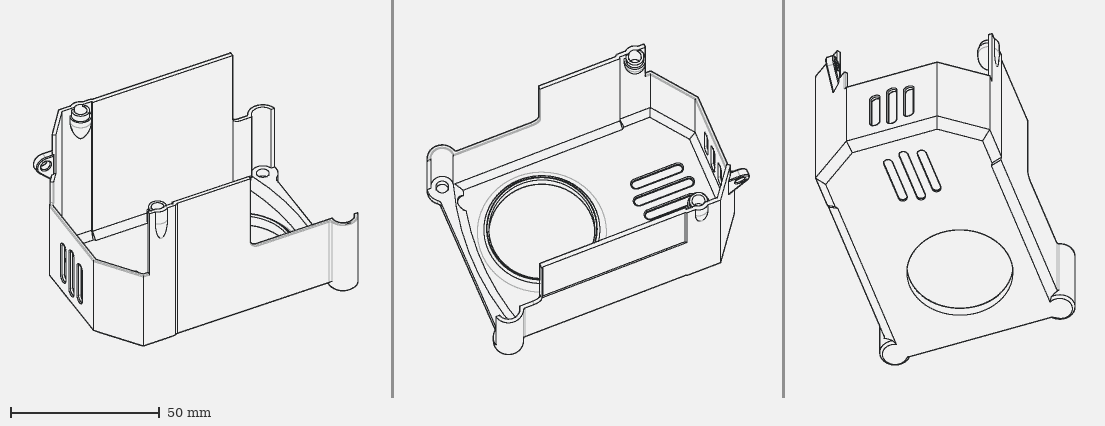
import cadquery as cq
import math

height = 60.5
wall = 1.3
bevel = 3.1

front_half_width = 31.05
rear_half_width = 30.45
nose_half_width = 16.15
slant_depth = 11.2
step_y = 23.4
step_length = 1.0

low_rim = 30.0
front_rim = 33.8
left_tall_end = 76.3
right_tall_start = 13.6
right_tall_end = 52.3
rim_fillet = 2.8
notch_fillet = 0.6
rim_rounding = 0.3
wall_end_y = 84.0

left_notch_top = 43.5
left_tall_reach = 13.1
left_notch_reach = 17.6

panel_depth = 0.3
panel_border = 0.65
panel_base_z = 33.4

ear_x = 29.35
ear_offset = 0.2
ear_y = 87.64
ear_radius = 5.145
ear_bevel = 0.9
ear_shell_gap = 1.05
ear_joint_fillet = 0.8
ear_hole_depth = 3.0
plate_top = 4.1
plate_rear_y = 90.2
plate_fillet = 2.0
plate_arc_centre_y = -5.8
plate_arc_low = 91.0
plate_arc_high = 94.2
relief_x, relief_y, relief_radius = 22.2, 82.1, 2.8

screw_hole_radius = 2.15

port_x, port_y = 2.7, 62.4
port_radius = 17.85
port_rim_radius = 19.55
port_root_fillet = 2.2
port_rim_top = 4.6
port_outer_bevel = 0.9
port_inner_bevel = 0.6

slot_pitch = 6.0
slot_width = 3.0
slot_bevel = 0.4
front_slot_z = 16.0
front_slot_lengths = (16.0, 19.0, 16.0)
floor_slot_x, floor_slot_y = 0.8, 18.8
floor_slot_lengths = (18.2, 21.2, 18.2)

boss_x, boss_y = 28.2, 18.1
boss_radius = 3.65
boss_neck_radius = 3.05
boss_top = 59.7
boss_shoulder = 57.3
boss_straight_end = 55.1
boss_inner_taper_radius = 10.5
boss_outer_taper_radius = 32.0
boss_hole_depth = 8.0

lug_left, lug_right = -22.65, -19.75
lug_y, lug_z = 0.605, 48.35
lug_radius = 3.5
lug_root_y = 8.0
lug_bevel = 0.35
lug_hole_radius = 1.75

pick_margin = 0.1

slant_width = front_half_width - nose_half_width
slant_length = math.hypot(slant_width, slant_depth)
slant_angle = math.degrees(math.atan2(slant_depth, slant_width))


def box(x0, x1, y0, y1, z0, z1):
    """Box between two opposite corners."""
    return cq.Workplane("XY").box(x1 - x0, y1 - y0, z1 - z0, centered=False).translate((x0, y0, z0))


def cylinder(x, y, radius, z0, z1):
    """Upright cylinder."""
    return cq.Workplane("XY").workplane(offset=z0).center(x, y).circle(radius).extrude(z1 - z0)


def hull(half_outline, inset, base_z, base_bevel):
    """Upright prism over a mirrored half outline, bevelled below except at its rear face."""
    mirrored = [(-x, y) for x, y in reversed(half_outline)]
    outline = cq.Workplane("XY").workplane(offset=base_z).polyline(half_outline + mirrored).close()
    if inset:
        outline = outline.offset2D(-inset)
    solid = outline.extrude(height - base_z)
    return solid.edges("<Z").edges("not(>Y)").chamfer(base_bevel)


def body():
    """Front and rear hulls, hollowed to an even wall, with the raised rear plate left standing."""
    front_outline = [
        (nose_half_width, 0),
        (front_half_width, slant_depth),
        (front_half_width, step_y),
        (rear_half_width, step_y + step_length),
    ]
    rear_slant_y = slant_depth * (rear_half_width - nose_half_width) / slant_width
    rear_outline = [(nose_half_width, 0), (rear_half_width, rear_slant_y), (rear_half_width, plate_rear_y)]
    inner_bevel = bevel - wall * (2 - math.sqrt(2))

    outside = hull(front_outline, 0, 0, bevel).union(hull(rear_outline, 0, 0, bevel))
    outside = outside.cut(box(-ear_x - ear_radius, ear_x + ear_radius, wall_end_y, plate_rear_y, plate_top, height))
    outside = outside.union(left_pad()).union(rear_plate())

    rear_cavity = hull(rear_outline, wall, wall, inner_bevel).intersect(plate_front())
    inner_half_width = rear_half_width - wall
    above_plate = box(-inner_half_width, inner_half_width, slant_depth * 2, plate_rear_y, plate_top, height)
    cavity = hull(front_outline, wall, wall, inner_bevel).union(rear_cavity).union(above_plate)
    thinned = box(-front_half_width + wall, 0, left_tall_end, wall_end_y, plate_top, height)
    return outside.cut(cavity).cut(thinned)


def left_pad():
    """Thickening of the rear left wall out to the front width, with a sunken panel in its upper part."""
    step = front_half_width - rear_half_width
    buried_x = rear_half_width - wall / 2
    profile = [
        (-buried_x, bevel),
        (-rear_half_width, bevel),
        (-front_half_width, bevel + step),
        (-front_half_width, height),
        (-buried_x, height),
    ]
    pad = cq.Workplane("XZ", origin=(0, step_y, 0)).polyline(profile).close().extrude(step_y - wall_end_y)

    panel_length = left_tall_end - step_y
    panel_height = height + panel_border - panel_base_z
    panel_middle = (0, (step_y + left_tall_end) / 2, panel_base_z + panel_height / 2)
    border_slope = math.degrees(math.atan2(panel_border, panel_depth))
    panel = cq.Workplane("YZ", origin=panel_middle).rect(panel_length, panel_height)
    panel = panel.extrude(panel_depth, taper=border_slope).translate((-front_half_width, 0, 0))
    return pad.cut(panel)


def rear_plate():
    """Plate across the rear with a round ear at each end."""
    plate = box(-ear_x, ear_x, ear_y - ear_radius / 2, plate_rear_y, 0, plate_top)
    for side in (-1, 1):
        ear = cylinder(side * ear_x + ear_offset, ear_y, ear_radius, 0, plate_top)
        plate = plate.union(ear.faces("<Z").edges().chamfer(ear_bevel))
    blend = cq.selectors.BoxSelector(
        (-ear_x + 1, plate_rear_y - pick_margin, ear_bevel),
        (ear_x - 1, plate_rear_y + pick_margin, plate_top - ear_bevel),
    )
    return plate.edges("|Z").edges(blend).fillet(plate_fillet)


def plate_front():
    """Region in front of the rear plate, ending in its curved 45 degree slope."""
    profile = [
        (0, 0),
        (plate_arc_low, 0),
        (plate_arc_low, wall),
        (plate_arc_high, plate_top),
        (plate_arc_high, height),
        (0, height),
    ]
    cone = cq.Workplane("XZ").polyline(profile).close().revolve(360, (0, 0, 0), (0, 1, 0))
    return cone.translate((0, plate_arc_centre_y, 0))


def ear_shell(side, x, wall_x):
    """Thin upright shell around the outer half of one ear, running on into the side wall in front."""
    base_z = plate_top - wall
    inner_x = wall_x - side * wall
    end_x = x + side * ear_shell_gap
    far_x = x + side * 2 * ear_radius
    keep_front = box(*sorted((inner_x, far_x)), ear_y - ear_radius, ear_y, base_z, low_rim)
    keep_rear = box(*sorted((end_x, far_x)), ear_y, ear_y + ear_radius, base_z, low_rim)
    return cylinder(x, ear_y, ear_radius, base_z, low_rim).intersect(keep_front.union(keep_rear))


def add_ear_shells(part):
    """Hollow ear shells blended into the side walls, and the screw holes of the ears."""
    for side, wall_x in ((-1, -front_half_width), (1, rear_half_width)):
        x = side * ear_x + ear_offset
        part = part.union(ear_shell(side, x, wall_x))
        part = part.cut(cylinder(x, ear_y, ear_radius - wall, plate_top, height))
        joint_y = ear_y - math.sqrt(ear_radius**2 - (wall_x - x) ** 2)
        near_joint = cq.selectors.BoxSelector(
            (wall_x - pick_margin, joint_y - pick_margin, 0),
            (wall_x + pick_margin, joint_y + pick_margin, low_rim),
        )
        part = part.edges("|Z").edges(near_joint).fillet(ear_joint_fillet)
        part = part.cut(cylinder(x, ear_y, screw_hole_radius, plate_top - ear_hole_depth, plate_top))
    return part


def low_side(side, end_y):
    """Space above the low rear end of one side wall, with a rounded inner corner."""
    near = side * (rear_half_width - 2 * wall)
    far = side * 2 * ear_x
    space = box(min(near, far), max(near, far), end_y, plate_rear_y + ear_radius, low_rim, height + wall)
    return space.edges("|X and <Y and <Z").fillet(rim_fillet)


def slant_box(reach, depth, base_z, corner_radius=0):
    """Space along the slanted left face from a given reach onward, down to a given depth behind it."""
    space = box(reach, 2 * slant_length, -4 * lug_radius, depth, base_z, height)
    if corner_radius:
        space = space.edges("|Y and <X and <Z").fillet(corner_radius)
    space = space.rotate((0, 0, 0), (0, 0, 1), -slant_angle)
    return space.translate((-front_half_width, slant_depth, 0))


def cut_rims(part):
    """Lower the wall tops at the rear, across the front and in steps on the slanted left face."""
    part = part.cut(low_side(-1, left_tall_end)).cut(low_side(1, right_tall_end))
    part = part.cut(
        box(-nose_half_width + wall, 2 * front_half_width, -wall, right_tall_start, front_rim, height)
    )
    part = part.cut(slant_box(left_tall_reach, 2 * wall, left_notch_top))
    return part.cut(slant_box(left_notch_reach, 2 * wall, front_rim, notch_fillet))


def round_rims(part):
    """Round both edges of the right and front rims; the rounding runs on up the corners."""
    far = 2 * ear_x
    low = cq.selectors.BoxSelector(
        (0, right_tall_end, low_rim - pick_margin), (far, 2 * far, low_rim + pick_margin)
    )
    part = part.edges(low).edges("not |X").fillet(rim_rounding)
    front = cq.selectors.BoxSelector(
        (-nose_half_width - 1, -1, front_rim - pick_margin),
        (far, right_tall_start - pick_margin, front_rim + pick_margin),
    )
    across_slant = cq.selectors.ParallelDirSelector(cq.Vector(slant_depth, slant_width, 0))
    return part.edges(front - across_slant).fillet(rim_rounding)


def boss_profile(taper_radius, neck):
    """Boss revolved about Z: straight on top, curving in below; optionally with a thinner neck."""
    tip_drop = math.sqrt(taper_radius**2 - (taper_radius - boss_radius) ** 2)
    half_drop = tip_drop / 2
    mid_radius = boss_radius - taper_radius + math.sqrt(taper_radius**2 - half_drop**2)
    sketch = cq.Workplane("XZ").moveTo(0, boss_straight_end - tip_drop)
    sketch = sketch.threePointArc(
        (mid_radius, boss_straight_end - half_drop), (boss_radius, boss_straight_end)
    )
    if neck:
        sketch = sketch.lineTo(boss_radius, boss_shoulder).lineTo(boss_neck_radius, boss_shoulder)
        sketch = sketch.lineTo(boss_neck_radius, boss_top).lineTo(0, boss_top)
    else:
        sketch = sketch.lineTo(boss_radius, height).lineTo(0, height)
    return sketch.close().revolve(360, (0, 0, 0), (0, 1, 0))


def add_bosses(part):
    """Screw boss on each side wall, bulging both into the body and out of the wall."""
    split_x = front_half_width - wall / 2
    reach = boss_x + 2 * boss_radius
    for side in (-1, 1):
        place = (side * boss_x, boss_y, 0)
        inner = boss_profile(boss_inner_taper_radius, True).translate(place)
        inner = inner.intersect(box(-split_x, split_x, 0, 2 * boss_y, 0, height))
        outer = boss_profile(boss_outer_taper_radius, False).translate(place)
        near, far = sorted((side * split_x, side * reach))
        outer = outer.intersect(box(near, far, 0, 2 * boss_y, 0, height))
        part = part.union(inner).union(outer)
        part = part.cut(cylinder(*place[:2], screw_hole_radius, boss_top - boss_hole_depth, height))
    return part


def lug():
    """Eye on the slanted left face, flat on top and sloping 45 degrees underneath."""
    diagonal = lug_radius * math.sqrt(0.5)
    foot_y = lug_y - diagonal
    foot_z = lug_z - diagonal
    eye = (
        cq.Workplane("YZ", origin=(lug_left, 0, 0))
        .moveTo(lug_root_y, lug_z + lug_radius)
        .lineTo(lug_y, lug_z + lug_radius)
        .threePointArc((lug_y - lug_radius, lug_z), (foot_y, foot_z))
        .lineTo(lug_root_y, foot_z - (lug_root_y - foot_y))
        .close()
        .extrude(lug_right - lug_left)
    )
    eye = eye.faces("<X or >X").edges().chamfer(lug_bevel)
    hole = cq.Workplane("YZ", origin=(lug_left, 0, 0)).center(lug_y, lug_z).circle(lug_hole_radius)
    eye = eye.cut(hole.extrude(lug_right - lug_left))
    rim = cq.selectors.BoxSelector(
        (lug_left - 1, lug_y - lug_radius / 2, lug_z - lug_radius / 2),
        (lug_right + 1, lug_y + lug_radius / 2, lug_z + lug_radius / 2),
    )
    eye = eye.edges("%CIRCLE").edges(rim).chamfer(lug_bevel)
    return eye.intersect(slant_box(0, wall / 2, 0))


def add_port(part):
    """Round opening in the floor inside a raised rim with a filleted root."""
    root_z = wall + port_root_fillet
    root_radius = port_rim_radius + port_root_fillet
    sag = port_root_fillet * (1 - math.sqrt(0.5))
    rim = (
        cq.Workplane("XZ")
        .moveTo(port_radius, 0)
        .lineTo(root_radius, 0)
        .lineTo(root_radius, wall)
        .threePointArc((port_rim_radius + sag, wall + sag), (port_rim_radius, root_z))
        .lineTo(port_rim_radius, port_rim_top - port_outer_bevel)
        .lineTo(port_rim_radius - port_outer_bevel, port_rim_top)
        .lineTo(port_radius + port_inner_bevel, port_rim_top)
        .lineTo(port_radius, port_rim_top - port_inner_bevel)
        .close()
        .revolve(360, (0, 0, 0), (0, 1, 0))
        .translate((port_x, port_y, 0))
    )
    return part.cut(cylinder(port_x, port_y, port_radius, 0, port_rim_top)).union(rim)


def slot_row(lengths):
    """Row of slots along X cut down from Z = 0 through the wall, bevelled at Z = 0."""
    row = cq.Workplane("XY")
    for place, length in zip((-slot_pitch, 0, slot_pitch), lengths):
        wide = length + 2 * slot_bevel
        slot = cq.Workplane("XY").center(place, 0).slot2D(length, slot_width, 90).extrude(-wall)
        mouth = cq.Workplane("XY").center(place, 0).slot2D(wide, slot_width + 2 * slot_bevel, 90)
        row = row.union(slot).union(mouth.extrude(-slot_bevel, taper=45))
    return row


def cut_slots(part):
    """Vents in the floor, bevelled inside, and in the front wall, bevelled outside."""
    floor_row = slot_row(floor_slot_lengths).translate((floor_slot_x, floor_slot_y, wall))
    front_row = slot_row(front_slot_lengths).rotate((0, 0, 0), (1, 0, 0), 90).translate((0, 0, front_slot_z))
    return part.cut(floor_row).cut(front_row)


def cut_relief(part):
    """Round relief down to floor level in the sloping front of the rear plate."""
    return part.cut(cylinder(relief_x, relief_y, relief_radius, wall, plate_top))


result = cut_rims(body())
result = add_ear_shells(result)
result = round_rims(result)
result = add_bosses(result).union(lug())
result = add_port(result)
result = cut_slots(result)
result = cut_relief(result)